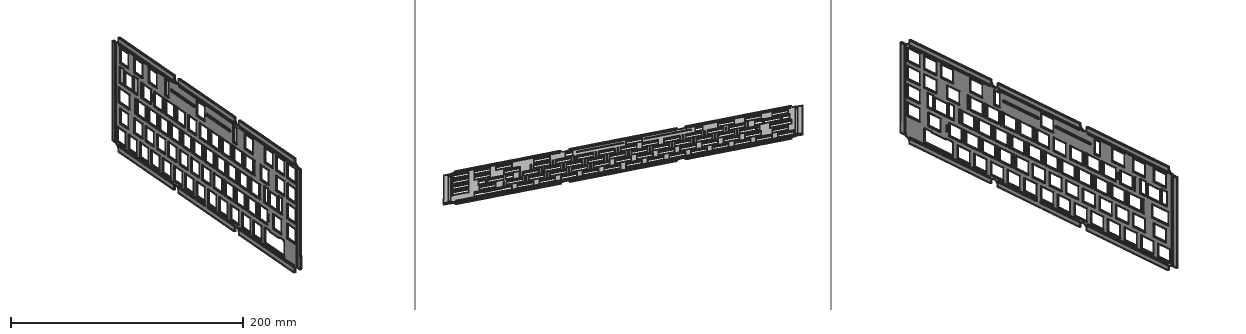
import cadquery as cq


THICKNESS = 1.5
HEIGHT = 107.7
WIDTH = 315.5
CUT_DEPTH = 3 * THICKNESS

SIDE_RAIL_HEIGHT = 94.0
LONG_EDGE_WIDTH = 295.5
NOTCH_X = 50.8
NOTCH_RADIUS = 3.8
NOTCH_DEPTH = 6.0
NOTCH_STRAIGHT = NOTCH_DEPTH - NOTCH_RADIUS

BUMP_OUT = 0.3
BUMP_HEIGHT = 12.3
BUMP_RADIUS = 1.5

SLOT_WIDTH = 2.0
LONG_SLOT_Z = 48.0
LONG_SLOT_END_GAP = 1.0
BOTTOM_BRIDGE = 4.5
SIDE_SLOT_X = 152.5
SIDE_SLOT_LENGTH = 91.5

KEY_SPAN = 285.8
LAST_COLUMN = 15
PITCH = KEY_SPAN / LAST_COLUMN
FIRST_KEY_X = -KEY_SPAN / 2
ROW_Z = [2 * PITCH, PITCH, 0, -PITCH, -2 * PITCH]
SWITCH = 14.2
WIDE_SWITCH = 19.0
WIDE_SWITCH_COLUMN = 0.23
CAPS_ROW = 2
BOTTOM_ROW = 4
CENTRE_COLUMN = 7
LEFT_LONG_COLUMN = 0.625
ENTER_COLUMN = 13.375

SWITCH_COLUMNS = [
    [0.25, 1.5, 2.75, CENTRE_COLUMN, 11.25, 13, 14, LAST_COLUMN],
    [LEFT_LONG_COLUMN] + [2.25 + i for i in range(10)] + [12.625, 14, LAST_COLUMN],
    [1.75 + i for i in range(11)] + [ENTER_COLUMN, LAST_COLUMN],
    [0.25] + [1.5 + i for i in range(12)] + [13.75, LAST_COLUMN],
    list(range(13)),
]

STAB_WIDTH = 6.5
STAB_LENGTH = 15.5
STAB_SHIFT = 0.5
SHORT_STAB_SPREAD = 12.0
LONG_STAB_SPREAD = 57.0

SLIT_WIDTH = 1.0
SHORT_SLIT_LENGTH = 6.5
SLIT_COLUMNS = {
    1: [1.75, 3.75, 4.75, 7.75, 8.75, 9.75, 10.75, 11.75],
    2: [2.25 + i for i in range(11)],
    3: [9, 10, 11, 12],
}
SHORT_SLITS = [(1, 2.75), (3, 13)]
WIDE_SLIT_WIDTH = 2.0
WIDE_SLIT_COLUMN = 1.25

TOP_SLOT_LENGTH = 41.0
TOP_SLOT_SPREAD = 29.7
TOP_SLOT_Z = 38.5

MERGED_COLUMN = 13.5
MERGED_WIDTH = 33.0
MERGED_STEP = 1.0
MERGED_STEP_LENGTH = 8.2
MERGED_CORNER_RADIUS = 1.3


def column_x(column):
    return FIRST_KEY_X + column * PITCH


def block(width, height, x, z, depth=CUT_DEPTH):
    """Box centred on the plate's mid-plane at (x, z)."""
    return cq.Workplane("XY").box(width, depth, height).translate((x, 0, z))


def cylinder(radius, x, z):
    """Cutter along Y centred at (x, z)."""
    return cq.Workplane("XZ").center(x, z).circle(radius).extrude(CUT_DEPTH / 2, both=True)


def round_slot(length, x, z, angle=0):
    """Round-ended slot cutter, along X at angle 0 and along Z at 90."""
    outline = cq.Workplane("XZ").center(x, z).slot2D(length, SLOT_WIDTH, angle)
    return outline.extrude(CUT_DEPTH / 2, both=True)


def plate_blank():
    """Long-edge body and side rails, joined by corners with a round inside."""
    shoulder_x = LONG_EDGE_WIDTH / 2 + NOTCH_RADIUS
    shoulder_z = HEIGHT / 2 - NOTCH_STRAIGHT
    body = block(LONG_EDGE_WIDTH, HEIGHT, 0, 0, THICKNESS)
    shoulders = block(2 * shoulder_x, 2 * shoulder_z, 0, 0, THICKNESS)
    for x in (-shoulder_x, shoulder_x):
        for z in (-shoulder_z, shoulder_z):
            shoulders = shoulders.cut(cylinder(NOTCH_RADIUS, x, z))
    rails = block(WIDTH, SIDE_RAIL_HEIGHT, 0, 0, THICKNESS)
    bump_width = 2 * BUMP_RADIUS
    bump_x = WIDTH / 2 + BUMP_OUT - bump_width / 2
    bump_z = (BUMP_HEIGHT - SIDE_RAIL_HEIGHT) / 2
    bump = block(bump_width, BUMP_HEIGHT, bump_x, bump_z, THICKNESS)
    bump = bump.edges("|Y and >X and <Z").fillet(BUMP_RADIUS)
    return body.union(shoulders).union(rails).union(bump)


def edge_notches():
    """Round-bottomed notches in the top and bottom edges."""
    tools = []
    for x in (-NOTCH_X, NOTCH_X):
        for side in (-1, 1):
            tools.append(block(2 * NOTCH_RADIUS, 2 * NOTCH_STRAIGHT, x, side * HEIGHT / 2))
            tools.append(cylinder(NOTCH_RADIUS, x, side * (HEIGHT / 2 - NOTCH_STRAIGHT)))
    return tools


def slot_between(start, end, z):
    return block(end - start, SLOT_WIDTH, (start + end) / 2, z)


def rail_slots():
    tools = []
    outer_end = LONG_EDGE_WIDTH / 2 - LONG_SLOT_END_GAP
    notch_gap = NOTCH_RADIUS + LONG_SLOT_END_GAP
    inner_end = NOTCH_X - notch_gap
    for z in (-LONG_SLOT_Z, LONG_SLOT_Z):
        tools.append(slot_between(-outer_end, -NOTCH_X - notch_gap, z))
        tools.append(slot_between(NOTCH_X + notch_gap, outer_end, z))
    tools.append(slot_between(-inner_end, inner_end, LONG_SLOT_Z))
    tools.append(slot_between(-inner_end, -BOTTOM_BRIDGE / 2, -LONG_SLOT_Z))
    tools.append(slot_between(BOTTOM_BRIDGE / 2, inner_end, -LONG_SLOT_Z))
    for x in (-SIDE_SLOT_X, SIDE_SLOT_X):
        tools.append(round_slot(SIDE_SLOT_LENGTH, x, 0, 90))
    return tools


def switch_openings():
    tools = [block(WIDE_SWITCH, SWITCH, column_x(WIDE_SWITCH_COLUMN), ROW_Z[CAPS_ROW])]
    for z, columns in zip(ROW_Z, SWITCH_COLUMNS):
        for column in columns:
            tools.append(block(SWITCH, SWITCH, column_x(column), z))
    return tools


def stabiliser_openings():
    """Pairs of openings; the top-row pair is turned over, so it shifts downwards."""
    tools = []
    for row, column, spread, shift in [
        (0, CENTRE_COLUMN, LONG_STAB_SPREAD, -STAB_SHIFT),
        (1, LEFT_LONG_COLUMN, SHORT_STAB_SPREAD, STAB_SHIFT),
        (CAPS_ROW, ENTER_COLUMN, SHORT_STAB_SPREAD, STAB_SHIFT),
    ]:
        for side in (-1, 1):
            x = column_x(column) + side * spread
            tools.append(block(STAB_WIDTH, STAB_LENGTH, x, ROW_Z[row] + shift))
    return tools


def relief_slits():
    tools = [block(WIDE_SLIT_WIDTH, SWITCH, column_x(WIDE_SLIT_COLUMN), ROW_Z[CAPS_ROW])]
    for row, columns in SLIT_COLUMNS.items():
        for column in columns:
            tools.append(block(SLIT_WIDTH, SWITCH, column_x(column), ROW_Z[row]))
    for row, column in SHORT_SLITS:
        tools.append(block(SLIT_WIDTH, SHORT_SLIT_LENGTH, column_x(column), ROW_Z[row]))
    return tools


def top_row_slots():
    tools = []
    for side in (-1, 1):
        x = column_x(CENTRE_COLUMN) + side * TOP_SLOT_SPREAD
        tools.append(round_slot(TOP_SLOT_LENGTH, x, TOP_SLOT_Z))
    return tools


def merged_opening():
    """Wide opening with a raised step at each end of its top edge."""
    x = column_x(MERGED_COLUMN)
    z = ROW_Z[BOTTOM_ROW]
    opening = block(MERGED_WIDTH, SWITCH + MERGED_STEP, x, z + MERGED_STEP / 2)
    opening = opening.edges("|Y and >Z").fillet(MERGED_CORNER_RADIUS)
    lip_width = MERGED_WIDTH - 2 * MERGED_STEP_LENGTH
    lip = block(lip_width, MERGED_STEP, x, z + (SWITCH + MERGED_STEP) / 2)
    return [opening.cut(lip)]


def cut_all(plate, tools):
    """Remove every tool in a single cut; the tools may overlap."""
    return cq.Workplane(obj=plate.val().cut(*[tool.val() for tool in tools]))


result = cut_all(
    plate_blank(),
    edge_notches()
    + rail_slots()
    + switch_openings()
    + stabiliser_openings()
    + relief_slits()
    + top_row_slots()
    + merged_opening(),
)